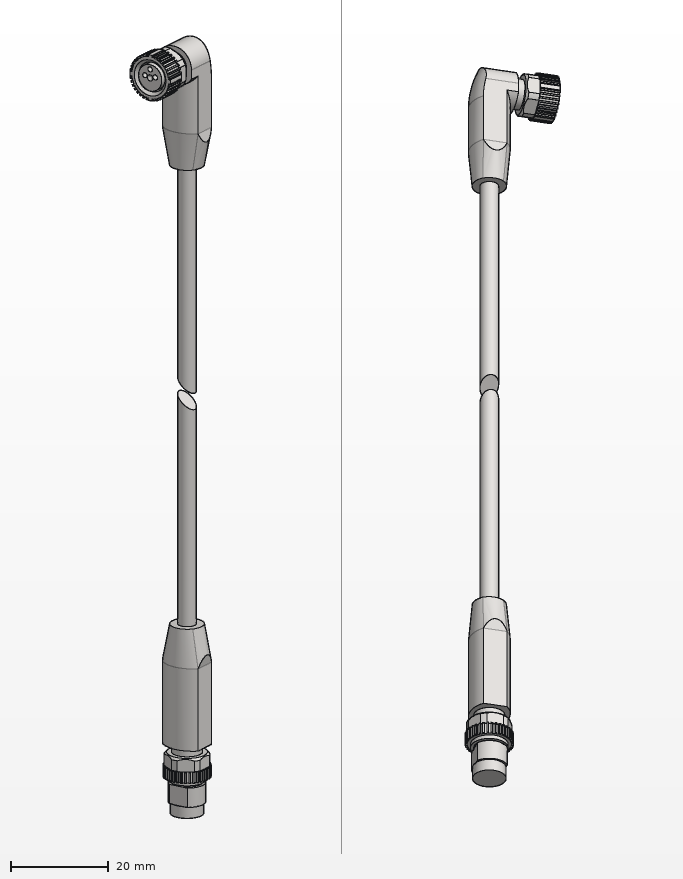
import cadquery as cq
import math

TOTAL_HEIGHT = 168.6
TOTAL_DEPTH = 18.7

CABLE_D = 3.9
LOWER_BREAK_Z = 89.7
UPPER_BREAK_Z = 93.2
BREAK_DROP = 3.4

GRIP_HALF_X = 4.4
GRIP_CROWN = 4.2
GRIP_FLAT_HALF = 2.5

RELIEF_LENGTH = 8.3
RELIEF_BASE_REACH = 5.4
RELIEF_TIP_REACH = 3.5
RELIEF_TIP_HALF_X = 2.9
RELIEF_TIP_FLAT_HALF = 2.2
RELIEF_TIP_CROWN = 3.5
RAMP_LENGTH = 2.4
RAMP_TOP_HALF_X = RELIEF_BASE_REACH - (RELIEF_BASE_REACH - RELIEF_TIP_REACH) * RAMP_LENGTH / RELIEF_LENGTH

NUT_D = 10.0
HEX_FLATS = 8.8
HEX_CORNER_D = 9.5
HEX_CHAMFER = 0.5
HEX_LENGTH = 2.9
NECK_D = 6.4
NECK_LENGTH = 1.7
KNURL_COUNT = 36
KNURL_DEPTH = 0.42
KNURL_WIDTH = 0.5

NOSE_D = 6.9
NOSE_LENGTH = 2.5
KEY_D = 7.8
KEY_LENGTH = 4.2
KEY_FLATS = 6.4
UNDERCUT_D = KEY_FLATS
UNDERCUT_LENGTH = 0.5
COLLAR_LENGTH = 0.8
PLUG_KNURL_LENGTH = 2.4
PLUG_GRIP_LENGTH = 17.9
COLLAR_Z = NOSE_LENGTH + KEY_LENGTH + UNDERCUT_LENGTH
PLUG_KNURL_Z = COLLAR_Z + COLLAR_LENGTH
PLUG_GRIP_Z = PLUG_KNURL_Z + PLUG_KNURL_LENGTH + HEX_LENGTH + NECK_LENGTH
PLUG_RELIEF_Z = PLUG_GRIP_Z + PLUG_GRIP_LENGTH

SOCKET_AXIS_Z = TOTAL_HEIGHT - NUT_D / 2
SOCKET_RELIEF_Z = 149.0
SOCKET_FACE_Y = NUT_D / 2 - TOTAL_DEPTH
SOCKET_KNURL_LENGTH = 4.2
BARREL_END_Y = SOCKET_FACE_Y + SOCKET_KNURL_LENGTH + HEX_LENGTH + NECK_LENGTH
BARREL_FLAT_DROP = 2.0
BARREL_BOTTOM_DROP = 4.2
BEND_START_Z = SOCKET_AXIS_Z - BARREL_BOTTOM_DROP
BEND_RADIUS = 20.0
PLAIN_STRIP_WIDTH = 1.0

BORE_D = 6.4
BORE_MOUTH_D = 7.8
BORE_CHAMFER = (BORE_MOUTH_D - BORE_D) / 2
BORE_DEPTH = 4.5
INSERT_D = 5.7
CONTACT_D = 1.08
CONTACT_DEPTH = 3.4
CONTACT_PLACES = [(-1.26, 0.3), (1.26, 0.3), (0.0, 1.9)]
DIMPLE_D = 1.3
DIMPLE_DEPTH = 0.5


def cylinder(diameter, z_start, length):
    return cq.Workplane("XY").workplane(offset=z_start).circle(diameter / 2).extrude(length)


def arched_section(plane, half_x, flat_half, crown, side_reach):
    """Four arcs between corners at (+-half_x, +-flat_half), reaching crown in Y and side_reach in X."""
    return (
        plane.moveTo(-half_x, -flat_half)
        .threePointArc((0, -crown), (half_x, -flat_half))
        .threePointArc((side_reach, 0), (half_x, flat_half))
        .threePointArc((0, crown), (-half_x, flat_half))
        .threePointArc((-side_reach, 0), (-half_x, -flat_half))
        .close()
    )


def grip(z_start, length):
    """Grip with flat sides and arched front and back."""
    return (
        cq.Workplane("XY")
        .workplane(offset=z_start)
        .moveTo(-GRIP_HALF_X, -GRIP_FLAT_HALF)
        .threePointArc((0, -GRIP_CROWN), (GRIP_HALF_X, -GRIP_FLAT_HALF))
        .lineTo(GRIP_HALF_X, GRIP_FLAT_HALF)
        .threePointArc((0, GRIP_CROWN), (-GRIP_HALF_X, GRIP_FLAT_HALF))
        .close()
        .extrude(length)
    )


def strain_relief():
    """Strain relief with its wide end at Z = 0 and its tip pointing up."""
    base = arched_section(cq.Workplane("XY"), GRIP_HALF_X, GRIP_FLAT_HALF, GRIP_CROWN, RELIEF_BASE_REACH)
    taper = arched_section(
        base.workplane(offset=RELIEF_LENGTH),
        RELIEF_TIP_HALF_X,
        RELIEF_TIP_FLAT_HALF,
        RELIEF_TIP_CROWN,
        RELIEF_TIP_REACH,
    ).loft(ruled=True)
    ramps = (
        cq.Workplane("XZ")
        .polyline([
            (-GRIP_HALF_X, 0),
            (GRIP_HALF_X, 0),
            (RAMP_TOP_HALF_X, RAMP_LENGTH),
            (RAMP_TOP_HALF_X, RELIEF_LENGTH),
            (-RAMP_TOP_HALF_X, RELIEF_LENGTH),
            (-RAMP_TOP_HALF_X, RAMP_LENGTH),
        ])
        .close()
        .extrude(2 * GRIP_CROWN, both=True)
    )
    return taper.intersect(ramps)


def coupling_nut(knurl_length):
    """Nut on the Z axis: knurled ring from Z = 0, then the hexagon and the neck."""
    ring = cylinder(NUT_D, 0, knurl_length)
    grooves = (
        cq.Workplane("XY")
        .polarArray(NUT_D / 2, 180 / KNURL_COUNT, 360, KNURL_COUNT)
        .rect(2 * KNURL_DEPTH, KNURL_WIDTH)
        .extrude(knurl_length)
    )
    corner_d = HEX_FLATS / math.cos(math.pi / 6)
    hexagon = (
        cq.Workplane("XY")
        .workplane(offset=knurl_length)
        .polygon(6, corner_d)
        .extrude(HEX_LENGTH)
        .rotate((0, 0, 0), (0, 0, 1), 90)
    )
    corner_round = cylinder(HEX_CORNER_D, knurl_length, HEX_LENGTH).faces(">Z").chamfer(HEX_CHAMFER)
    hexagon = hexagon.intersect(corner_round)
    neck = cylinder(NECK_D, knurl_length + HEX_LENGTH, NECK_LENGTH)
    return ring.cut(grooves).union(hexagon).union(neck)


def cable(z_start, z_end):
    return cylinder(CABLE_D, z_start, z_end - z_start)


def break_block(center_z, height):
    """Block above (height > 0) or below the slanted break plane at center_z."""
    return (
        cq.Workplane("XZ")
        .polyline([
            (-CABLE_D, center_z + BREAK_DROP),
            (CABLE_D, center_z - BREAK_DROP),
            (CABLE_D, center_z + height),
            (-CABLE_D, center_z + height),
        ])
        .close()
        .extrude(CABLE_D, both=True)
    )


def plug_tip():
    """Nose, flatted key section, undercut and collar."""
    nose = cylinder(NOSE_D, 0, NOSE_LENGTH)
    key = cylinder(KEY_D, NOSE_LENGTH, KEY_LENGTH)
    key = key.intersect(cq.Workplane("XY").box(KEY_D, KEY_FLATS, 2 * (NOSE_LENGTH + KEY_LENGTH)))
    undercut = cylinder(UNDERCUT_D, NOSE_LENGTH + KEY_LENGTH, UNDERCUT_LENGTH)
    collar = cylinder(KEY_D, COLLAR_Z, COLLAR_LENGTH)
    return nose.union(key).union(undercut).union(collar)


def build_plug():
    relief_tip_z = PLUG_RELIEF_Z + RELIEF_LENGTH
    lower_cable = cable(relief_tip_z, LOWER_BREAK_Z + BREAK_DROP)
    lower_cable = lower_cable.cut(break_block(LOWER_BREAK_Z, 2 * CABLE_D))
    return (
        plug_tip()
        .union(coupling_nut(PLUG_KNURL_LENGTH).translate((0, 0, PLUG_KNURL_Z)))
        .union(grip(PLUG_GRIP_Z, PLUG_GRIP_LENGTH))
        .union(strain_relief().translate((0, 0, PLUG_RELIEF_Z)))
        .union(lower_cable)
    )


def barrel():
    """Prism along Y: half-round top on the socket axis, flat sides, arched bottom."""
    flat_end_z = SOCKET_AXIS_Z - BARREL_FLAT_DROP
    return (
        cq.Workplane("XZ", origin=(0, GRIP_CROWN, 0))
        .moveTo(-GRIP_HALF_X, flat_end_z)
        .lineTo(-GRIP_HALF_X, SOCKET_AXIS_Z)
        .threePointArc((0, SOCKET_AXIS_Z + GRIP_HALF_X), (GRIP_HALF_X, SOCKET_AXIS_Z))
        .lineTo(GRIP_HALF_X, flat_end_z)
        .threePointArc((0, SOCKET_AXIS_Z - BARREL_BOTTOM_DROP), (-GRIP_HALF_X, flat_end_z))
        .close()
        .extrude(GRIP_CROWN - BARREL_END_Y)
    )


def elbow_envelope():
    """Space in front of the elbow's back: straight below the bend, curved above it."""
    front_y = GRIP_CROWN - BEND_RADIUS
    plane = cq.Workplane("XY").workplane(offset=BEND_START_Z)

    def back_section():
        return (
            plane.moveTo(-GRIP_HALF_X, front_y)
            .lineTo(GRIP_HALF_X, front_y)
            .lineTo(GRIP_HALF_X, GRIP_FLAT_HALF)
            .threePointArc((0, GRIP_CROWN), (-GRIP_HALF_X, GRIP_FLAT_HALF))
            .close()
        )

    straight = back_section().extrude(SOCKET_RELIEF_Z - BEND_START_Z)
    bend = back_section().revolve(90, (0, front_y, 0), (1, front_y, 0))
    return straight.union(bend)


def elbow():
    """Vertical column and horizontal barrel with a rounded back."""
    column = grip(SOCKET_RELIEF_Z, SOCKET_AXIS_Z - SOCKET_RELIEF_Z)
    return column.union(barrel()).intersect(elbow_envelope())


def socket_nut():
    """Nut of the socket with its face at Z = 0, opening downward, built on the Z axis."""
    cross = cq.Workplane("XY").rect(NUT_D, PLAIN_STRIP_WIDTH).extrude(SOCKET_KNURL_LENGTH)
    cross = cross.union(cross.rotate((0, 0, 0), (0, 0, 1), 90))
    plain_strips = cross.intersect(cylinder(NUT_D, 0, SOCKET_KNURL_LENGTH))
    bore = cylinder(BORE_D, 0, BORE_DEPTH)
    mouth = (
        cq.Workplane("XY")
        .circle(BORE_MOUTH_D / 2)
        .workplane(offset=BORE_CHAMFER)
        .circle(BORE_D / 2)
        .loft(ruled=True)
    )
    contacts = cq.Workplane("XY").pushPoints(CONTACT_PLACES).circle(CONTACT_D / 2).extrude(CONTACT_DEPTH)
    dimple = cq.Workplane(cq.Solid.makeCone(DIMPLE_D / 2, 0, DIMPLE_DEPTH))
    insert = cylinder(INSERT_D, 0, BORE_DEPTH).cut(contacts).cut(dimple)
    nut = coupling_nut(SOCKET_KNURL_LENGTH).union(plain_strips)
    return nut.cut(bore).cut(mouth).union(insert)


def build_socket():
    relief = strain_relief().rotate((0, 0, 0), (0, 1, 0), 180).translate((0, 0, SOCKET_RELIEF_Z))
    relief_tip_z = SOCKET_RELIEF_Z - RELIEF_LENGTH
    upper_cable = cable(UPPER_BREAK_Z - BREAK_DROP, relief_tip_z)
    upper_cable = upper_cable.cut(break_block(UPPER_BREAK_Z, -2 * CABLE_D))
    nut = socket_nut().rotate((0, 0, 0), (1, 0, 0), -90).mirror("XY")
    nut = nut.translate((0, SOCKET_FACE_Y, SOCKET_AXIS_Z))
    return elbow().union(nut).union(relief).union(upper_cable)


plug = build_plug()
socket = build_socket()
result = cq.Compound.makeCompound([plug.val(), socket.val()])